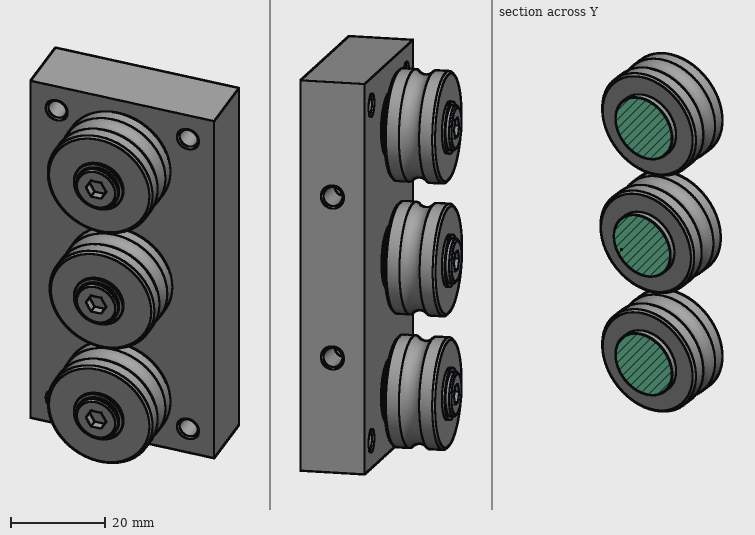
import cadquery as cq
import math

plate_width = 42.0
plate_thickness = 14.0
plate_height = 85.0

bore_diameter = 4.2
mouth_diameter = 5.0
corner_hole_spacing_x = 30.0
corner_hole_spacing_z = 73.0
side_hole_spacing = 35.0
side_hole_depth = 10.0
drill_point_angle = 118.0

roller_pitch = 29.0
eccentric_offset = 0.4
hub_diameter = 14.5
hub_length = 1.9
hub_chamfer = 0.4
roller_diameter = 24.0
roller_width = 11.1
rim_chamfer = 0.5
groove_width = 4.4
groove_depth = 1.0

washer_diameter = 11.1
washer_thickness = 0.6
head_diameter = 9.6
head_height = 1.2
head_chamfer = 0.4
hex_across_flats = 4.0
hex_depth = 2.0

roller_front = hub_length + roller_width
washer_front = roller_front + washer_thickness
head_front = washer_front + head_height


def front_plane(distance, x, z):
    """Plane facing -Y, the given distance in front of the plate."""
    return cq.Plane(origin=(x, -distance, z), xDir=(1, 0, 0), normal=(0, -1, 0))


def threaded_hole(plane, depth):
    """Bore with a 45 degree countersunk mouth and a conical drill point, sunk into the plane."""
    bore_radius = bore_diameter / 2
    mouth_radius = mouth_diameter / 2
    point_length = bore_radius / math.tan(math.radians(drill_point_angle / 2))
    profile = (
        cq.Workplane("XZ")
        .moveTo(0, 0)
        .lineTo(mouth_radius, 0)
        .lineTo(bore_radius, bore_radius - mouth_radius)
        .lineTo(bore_radius, -depth)
        .lineTo(0, -depth - point_length)
        .close()
    )
    hole = profile.revolve(360, (0, 0, 0), (0, 1, 0)).val()
    return cq.Workplane(hole.moved(cq.Location(plane)))


def make_plate():
    """Plate with four through holes at its corners and two blind holes in its -X side."""
    plate = cq.Workplane("XY").box(plate_width, plate_thickness, plate_height)
    plate = plate.translate((0, plate_thickness / 2, 0))
    for x in (-corner_hole_spacing_x / 2, corner_hole_spacing_x / 2):
        for z in (-corner_hole_spacing_z / 2, corner_hole_spacing_z / 2):
            plate = plate.cut(threaded_hole(front_plane(0, x, z), plate_thickness))
    for z in (-side_hole_spacing / 2, side_hole_spacing / 2):
        mouth = cq.Plane(
            origin=(-plate_width / 2, plate_thickness / 2, z), xDir=(0, 1, 0), normal=(-1, 0, 0)
        )
        plate = plate.cut(threaded_hole(mouth, side_hole_depth))
    return plate


def make_roller(x, z):
    """Hub and grooved wheel, turned about one axis; x and z locate that axis."""
    hub_radius = hub_diameter / 2
    rim_radius = roller_diameter / 2
    shoulder_radius = rim_radius - rim_chamfer
    groove_middle = hub_length + roller_width / 2
    profile = (
        cq.Workplane("XY")
        .moveTo(0, 0)
        .lineTo(hub_radius - hub_chamfer, 0)
        .lineTo(hub_radius, -hub_chamfer)
        .lineTo(hub_radius, -hub_length)
        .lineTo(shoulder_radius, -hub_length)
        .lineTo(rim_radius, -hub_length - rim_chamfer)
        .lineTo(rim_radius, -groove_middle + groove_width / 2)
        .threePointArc(
            (rim_radius - groove_depth, -groove_middle),
            (rim_radius, -groove_middle - groove_width / 2),
        )
        .lineTo(rim_radius, -roller_front + rim_chamfer)
        .lineTo(shoulder_radius, -roller_front)
        .lineTo(0, -roller_front)
        .close()
    )
    return profile.revolve(360, (0, 0, 0), (0, 1, 0)).translate((x, 0, z))


def make_screw(z):
    """Washer and socket head on the plate's centre line."""
    washer_plane = cq.Workplane(front_plane(roller_front, 0, z))
    washer = washer_plane.circle(washer_diameter / 2).extrude(washer_thickness)
    head_plane = cq.Workplane(front_plane(washer_front, 0, z))
    head = head_plane.circle(head_diameter / 2).extrude(head_height)
    head = head.faces("<Y").edges().chamfer(head_chamfer)
    return washer.union(head)


def make_socket(z):
    """Hexagonal drive recess in the screw head."""
    hex_across_corners = hex_across_flats / math.cos(math.pi / 6)
    mouth = cq.Workplane(front_plane(head_front, 0, z))
    return mouth.polygon(6, hex_across_corners).extrude(-hex_depth)


result = make_plate()
for row in (-1, 0, 1):
    roller_z = row * roller_pitch
    roller_x = eccentric_offset if row == 0 else 0
    result = result.union(make_roller(roller_x, roller_z))
    result = result.union(make_screw(roller_z))
    result = result.cut(make_socket(roller_z))